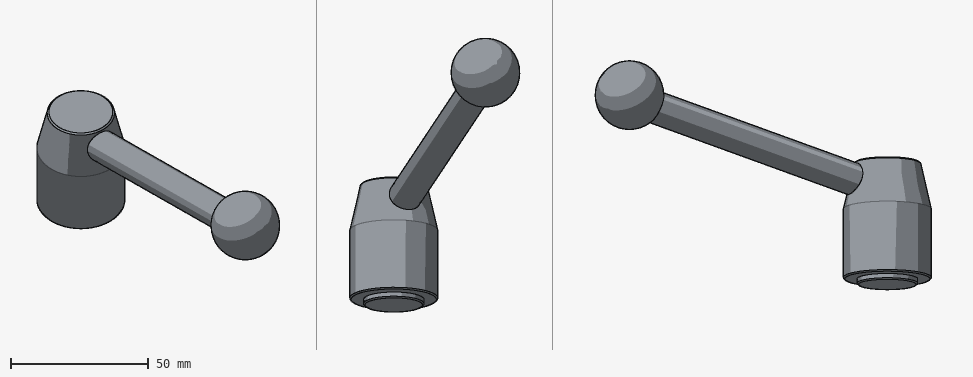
import cadquery as cq
import math

hub_diameter = 32.0
hub_radius = hub_diameter / 2
top_radius = 12.1
foot_radius = 22.0 / 2
foot_height = 2.1
taper_start = 27.8
hub_height = 45.0
edge_chamfer = 0.5

arm_diameter = 12.0
arm_angle = 15
arm_axis_height = 34.3

overall_length = 130
overall_height = 75.0
ball_diameter = 25.0
ball_radius = ball_diameter / 2

ball_x = overall_length - hub_radius - ball_radius
ball_z = overall_height - ball_radius
arm_length = ball_x / math.cos(math.radians(arm_angle))


def make_hub():
    foot = cq.Workplane("XY").circle(foot_radius).extrude(foot_height)
    foot = foot.faces("<Z").chamfer(edge_chamfer)
    body = (
        cq.Workplane("XZ")
        .moveTo(0, foot_height)
        .lineTo(hub_radius, foot_height)
        .lineTo(hub_radius, taper_start)
        .lineTo(top_radius, hub_height)
        .lineTo(0, hub_height)
        .close()
        .revolve(360, (0, 0), (0, 1))
        .faces("<Z or >Z")
        .chamfer(edge_chamfer)
    )
    return body.union(foot)


def make_arm():
    """Round bar lying along +X from the hub axis, tilted up about that point."""
    bar = cq.Workplane("YZ").circle(arm_diameter / 2).extrude(arm_length)
    return bar.rotate((0, 0, 0), (0, 1, 0), -arm_angle).translate((0, 0, arm_axis_height))


def make_ball():
    return cq.Workplane("XY").sphere(ball_radius).translate((ball_x, 0, ball_z))


result = make_hub().union(make_arm()).union(make_ball())